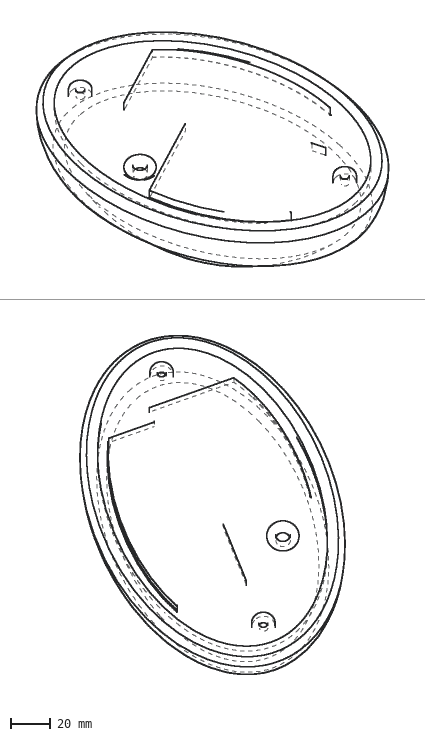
import cadquery as cq
import math

length = 187.0
width = 125.7
height = 76.0
half_length = length / 2
half_width = width / 2

rim_chamfer_drop = 5.6
rim_chamfer_inset = 3.4
wall_arc_drop = 30.5
wall_arc_inset = 5.5
wall_drop = 35.0
wall_inset = 8.5
wall_band = 22.5

dome_half_length = 79.1
dome_half_width = 49.4
dome_sections = 6

floor_drop = 7.0
recess_half_length = 84.3
recess_half_width = 53.7

plate_height = 6.7
plate_half_length = 78.7
plate_half_width = 48.2
plate_left = -49.0
plate_notch_x = -15.0
plate_notch_y = 0.0
plate_step_x = 49.0
plate_step_y = 12.9
plate_right = 57.2

post_spacing = 145.9
post_diameter = 12.0
post_height = 6.4
post_hole_diameter = 4.5
post_hole_depth = 5.6

socket_x = -28.5
socket_y = -27.5
socket_diameter = 23.0
socket_valley_diameter = 16.5
socket_valley_depth = 4.1
socket_wall_bulge = 0.4
socket_hole_diameter = 7.5
socket_lip_depth = 1.3
socket_hole_depth = 9.3

edge_radius = 0.5
selection_margin = 0.2

floor_z = height - floor_drop
ledge_z = height - wall_drop


def arc_radius(half_chord, rise):
    """Radius of the arc with the given half chord and rise."""
    return (half_chord**2 + rise**2) / (2 * rise)


def make_wall():
    """Outer band swept around the oval, with a solid core inside it."""
    widest_z = height - rim_chamfer_drop
    arc_end_z = height - wall_arc_drop
    arc_drop = wall_arc_drop - rim_chamfer_drop
    wall_radius = arc_radius(arc_drop, wall_arc_inset)
    half_angle = math.asin(arc_drop / wall_radius) / 2
    arc_middle = (
        half_length - wall_radius * (1 - math.cos(half_angle)),
        widest_z - wall_radius * math.sin(half_angle),
    )
    band_inside = half_length - wall_band
    profile = (
        cq.Workplane("XZ")
        .moveTo(band_inside, height)
        .lineTo(half_length - rim_chamfer_inset, height)
        .lineTo(half_length, widest_z)
        .threePointArc(arc_middle, (half_length - wall_arc_inset, arc_end_z))
        .lineTo(half_length - wall_inset, ledge_z)
        .lineTo(band_inside, ledge_z)
        .close()
    )
    oval = cq.Workplane("XY", origin=(0, 0, widest_z)).ellipse(half_length, half_width)
    band = profile.sweep(oval)
    core_inset = (wall_inset + wall_band) / 2
    core = (
        cq.Workplane("XY", origin=(0, 0, ledge_z))
        .ellipse(half_length - core_inset, half_width - core_inset)
        .extrude(wall_drop)
    )
    return band.union(core)


def make_dome():
    """Stack of ovals whose half axes follow one arc along X and a tighter one along Y."""
    long_radius = arc_radius(dome_half_length, ledge_z)
    cross_radius = arc_radius(dome_half_width, ledge_z)
    ovals = []
    for section in range(1, dome_sections + 1):
        z = ledge_z * (section / dome_sections) ** 2
        half_x = math.sqrt(z * (2 * long_radius - z))
        half_y = math.sqrt(z * (2 * cross_radius - z))
        oval = cq.Workplane("XY", origin=(0, 0, z)).ellipse(half_x, half_y)
        ovals.append(oval.wire().val())
    bottom = cq.Vertex.makeVertex(0, 0, 0)
    return cq.Workplane(cq.occ_impl.shapes.loft([bottom] + ovals, cap=True))


def make_recess():
    """Straight oval pocket."""
    floor = cq.Workplane("XY", origin=(0, 0, floor_z))
    return floor.ellipse(recess_half_length, recess_half_width).extrude(floor_drop)


def make_plate():
    """Stepped plate trimmed by an oval at front and back, with rounded edges."""
    floor = cq.Workplane("XY", origin=(0, 0, floor_z))
    stepped = (
        floor.moveTo(plate_left, half_width)
        .lineTo(plate_left, plate_notch_y)
        .lineTo(plate_notch_x, plate_notch_y)
        .lineTo(plate_notch_x, -half_width)
        .lineTo(plate_right, -half_width)
        .lineTo(plate_right, plate_step_y)
        .lineTo(plate_step_x, plate_step_y)
        .lineTo(plate_step_x, half_width)
        .close()
        .extrude(plate_height)
    )
    oval = floor.ellipse(plate_half_length, plate_half_width).extrude(plate_height)
    plate = stepped.intersect(oval)
    return plate.edges("|Z").fillet(edge_radius).faces(">Z").edges().fillet(edge_radius)


def make_post():
    """Round post with a blind hole, rounded at its top edge and hole rim."""
    post = (
        cq.Workplane("XY", origin=(0, 0, floor_z))
        .circle(post_diameter / 2)
        .extrude(post_height)
        .faces(">Z")
        .workplane()
        .hole(post_hole_diameter, post_hole_depth)
    )
    return post.faces(">Z").edges().fillet(edge_radius)


def make_socket():
    """Dished ring falling to a valley and rising to the lip of a blind hole."""
    outer = (socket_diameter / 2, floor_z)
    valley = (socket_valley_diameter / 2, floor_z - socket_valley_depth)
    run = outer[0] - valley[0]
    slope_length = math.hypot(run, socket_valley_depth)
    wall_middle = (
        (outer[0] + valley[0]) / 2 + socket_wall_bulge * socket_valley_depth / slope_length,
        (outer[1] + valley[1]) / 2 - socket_wall_bulge * run / slope_length,
    )
    hole_radius = socket_hole_diameter / 2
    return (
        cq.Workplane("XZ")
        .moveTo(0, floor_z)
        .lineTo(*outer)
        .threePointArc(wall_middle, valley)
        .lineTo(hole_radius, floor_z - socket_lip_depth)
        .lineTo(hole_radius, floor_z - socket_hole_depth)
        .lineTo(0, floor_z - socket_hole_depth)
        .close()
        .revolve(360, (0, 0, 0), (0, 1, 0))
        .translate((socket_x, socket_y, 0))
    )


result = make_wall().union(make_dome()).cut(make_recess()).union(make_plate())
for post_x in (-post_spacing / 2, post_spacing / 2):
    result = result.union(make_post().translate((post_x, 0, 0)))

floor_edges = cq.selectors.BoxSelector(
    (-half_length, -half_width, floor_z - selection_margin),
    (half_length, half_width, floor_z + selection_margin),
)
result = result.edges(floor_edges).fillet(edge_radius)

result = result.cut(make_socket())
socket_rims = cq.selectors.BoxSelector(
    (socket_x - selection_margin, socket_y - selection_margin, floor_z - socket_lip_depth - selection_margin),
    (socket_x + selection_margin, socket_y + selection_margin, floor_z + selection_margin),
)
result = result.edges(socket_rims).fillet(edge_radius)